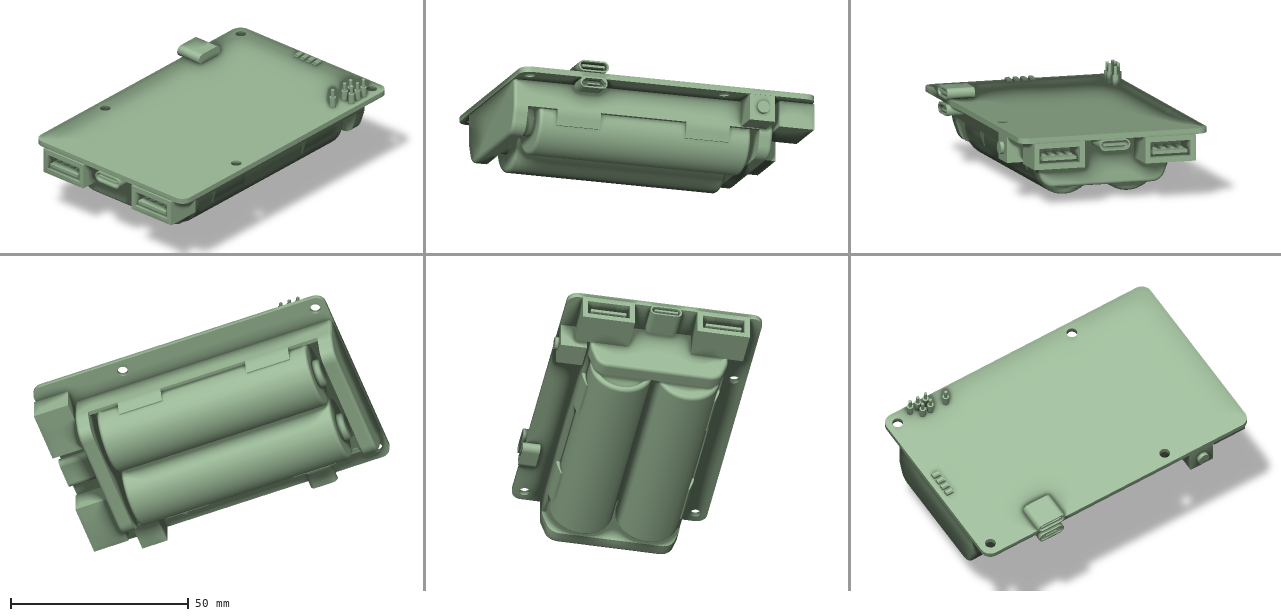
import cadquery as cq
import math


BOARD_WIDTH = 55.9
BOARD_LENGTH = 88.0
BOARD_THICKNESS = 1.6
BOARD_CORNER_RADIUS = 3.0
BOARD_LEFT = -BOARD_WIDTH / 2
BOARD_FRONT = -BOARD_LENGTH / 2
MOUNT_HOLE_DIAMETER = 3.0
MOUNT_HOLE_X = 24.5
MOUNT_HOLE_YS = (-17.4, 40.6)

CELL_DIAMETER = 18.2
CELL_RADIUS = CELL_DIAMETER / 2
CELL_LENGTH = 63.0
CELL_EDGE_RADIUS = 1.0
CELL_SPACING = 18.9
CELL_AXIS_Z = -CELL_RADIUS
TERMINAL_DIAMETER = 8.0
TERMINAL_LENGTH = 1.95
TERMINAL_EDGE_RADIUS = 1.0
RECESS_DIAMETER = 15.0
RECESS_DEPTH = 0.9
RECESS_EDGE_RADIUS = 0.5

HOLDER_WIDTH = 39.5
HOLDER_LENGTH = 77.35
HOLDER_CENTER_Y = 4.9
HOLDER_HEIGHT = 15.0
HOLDER_DRAFT = 20.0
HOLDER_KNEE_RADIUS = 5.75
HOLDER_BOTTOM_RADIUS = 4.0
HOLDER_EDGE_RADIUS = 1.0
END_WALL_THICKNESS = 4.1
SIDE_WALL_HEIGHT = 7.5
CLIP_BOTTOM_DEPTH = 11.95
CLIP_LENGTH = 12.9
CLIP_SPACING = 38.4
HOLDER_INNER_LENGTH = HOLDER_LENGTH - 2 * END_WALL_THICKNESS
HOLDER_KNEE_DEPTH = SIDE_WALL_HEIGHT + HOLDER_KNEE_RADIUS * math.tan(math.radians(HOLDER_DRAFT / 2))

FRONT_OVERHANG = 0.5
LEFT_OVERHANG = 1.1
CONNECTOR_FRONT = BOARD_FRONT - FRONT_OVERHANG
CONNECTOR_LEFT = BOARD_LEFT - LEFT_OVERHANG
FRONT_ROW_CENTER_X = -0.1

USB_A_WIDTH = 15.0
USB_A_HEIGHT = 7.5
USB_A_LENGTH = 10.35
USB_A_WALL = 1.5
USB_A_SPACING = 32.9
USB_A_CAVITY_DEPTH = 8.85
USB_A_TONGUE_WIDTH = 10.2
USB_A_TONGUE_THICKNESS = 0.9
USB_A_TONGUE_TOP_DEPTH = 4.2
USB_A_TONGUE_SETBACK = 0.2
USB_A_CONTACT_COUNT = 4
USB_A_CONTACT_WIDTH = 1.2
USB_A_CONTACT_HEIGHT = 0.4
USB_A_CONTACT_PITCH = 2.6
USB_A_CONTACT_SETBACK = 2.3
USB_A_SPRING_WIDTH = 2.1
USB_A_SPRING_DROP = 0.5
USB_A_SPRING_SPACING = 6.9

USB_C_WIDTH = 9.0
USB_C_HEIGHT = 3.2
USB_C_LENGTH = 8.1
USB_C_TONGUE_WIDTH = 6.6
USB_C_TONGUE_THICKNESS = 0.6
MICRO_USB_WIDTH = 8.1
MICRO_USB_HEIGHT = 3.2
MICRO_USB_LENGTH = 5.0
MICRO_USB_CAVITY_TOP_WIDTH = 4.8
MICRO_USB_CAVITY_BOTTOM_WIDTH = 6.4
MICRO_USB_CAVITY_SIDE_HEIGHT = 0.6
MICRO_USB_TONGUE_WIDTH = 3.45
MICRO_USB_TONGUE_THICKNESS = 0.35
MICRO_USB_TONGUE_DROP = 0.35
SHELL_WALL = 0.4
SHELL_CAVITY_DEPTH = 2.65
SHELL_TONGUE_SETBACK = 0.2
LEFT_PORTS_Y = 23.0

BUTTON_BLOCK_LENGTH = 7.5
BUTTON_BLOCK_HEIGHT = 7.5
BUTTON_BLOCK_DEPTH = 7.5
BUTTON_SETBACK = 0.1
BUTTON_DIAMETER = 3.5
BUTTON_CENTER_Y = -27.7

PIN_PITCH = 2.6
PIN_DIAMETER = 1.0
PIN_HEIGHT = 5.5
PIN_TIP_CHAMFER = 0.2
PIN_COLLAR_DIAMETER = 1.8
PIN_COLLAR_HEIGHT = 3.0
PIN_CORNER_X = 25.7
PIN_CORNER_Y = 35.75
PIN_GRID = ((0, 0), (0, 1), (1, 1), (0, 2), (1, 2), (1, 4))

LIGHT_COUNT = 4
LIGHT_PITCH = 2.3
LIGHT_WIDTH = 1.5
LIGHT_LENGTH = 2.4
LIGHT_BASE_HEIGHT = 0.5
LIGHT_LENS_HEIGHT = 0.5
LIGHT_LENS_SETBACK = 0.35
LIGHT_LENS_CHAMFER = 0.35
LIGHT_CENTER_Y = 41.15


def box(width, length, height, x, y, z):
    """Box centred on x and y, rising from z."""
    return cq.Workplane("XY").box(width, length, height, centered=(True, True, False)).translate((x, y, z))


def row_positions(count, pitch):
    """Evenly spaced places along a line, centred on zero."""
    return [(index - (count - 1) / 2) * pitch for index in range(count)]


def board():
    """Flat plate with rounded corners and four mounting holes."""
    plate = cq.Workplane("XY").rect(BOARD_WIDTH, BOARD_LENGTH).extrude(BOARD_THICKNESS)
    plate = plate.edges("|Z").fillet(BOARD_CORNER_RADIUS)
    hole_centers = [(x, y) for x in (-MOUNT_HOLE_X, MOUNT_HOLE_X) for y in MOUNT_HOLE_YS]
    return plate.faces(">Z").workplane(origin=(0, 0, 0)).pushPoints(hole_centers).hole(MOUNT_HOLE_DIAMETER)


def holder_blank():
    """Solid holder: upright sides that lean inward below the knee, rounded at both ends."""
    half_width = HOLDER_WIDTH / 2
    lean = (HOLDER_HEIGHT - HOLDER_KNEE_DEPTH) * math.tan(math.radians(HOLDER_DRAFT))
    outline = [
        (-half_width, 0),
        (half_width, 0),
        (half_width, -HOLDER_KNEE_DEPTH),
        (half_width - lean, -HOLDER_HEIGHT),
        (lean - half_width, -HOLDER_HEIGHT),
        (-half_width, -HOLDER_KNEE_DEPTH),
    ]
    blank = cq.Workplane("XZ").polyline(outline).close().extrude(HOLDER_LENGTH / 2, both=True)
    blank = blank.edges("|Y and <Z").fillet(HOLDER_BOTTOM_RADIUS)
    blank = blank.edges("|Y and (<X or >X) and (not >Z)").fillet(HOLDER_KNEE_RADIUS)
    return blank.faces("<Y or >Y").edges("not >Z").fillet(HOLDER_EDGE_RADIUS)


def holder_cavity():
    """Space for both cells: upright to the cell axes, then following the cells round below them."""
    axis_x = CELL_SPACING / 2
    side_x = axis_x + CELL_RADIUS
    bottom_z = CELL_AXIS_Z - CELL_RADIUS
    diagonal = CELL_RADIUS * math.sqrt(0.5)
    return (
        cq.Workplane("XZ")
        .moveTo(-side_x, 0)
        .lineTo(side_x, 0)
        .lineTo(side_x, CELL_AXIS_Z)
        .threePointArc((axis_x + diagonal, CELL_AXIS_Z - diagonal), (axis_x, bottom_z))
        .lineTo(-axis_x, bottom_z)
        .threePointArc((-axis_x - diagonal, CELL_AXIS_Z - diagonal), (-side_x, CELL_AXIS_Z))
        .close()
        .extrude(HOLDER_INNER_LENGTH / 2, both=True)
    )


def holder():
    """Frame with two end walls, low side walls and two deeper clips on each side."""
    side_cut = box(HOLDER_WIDTH, HOLDER_INNER_LENGTH, HOLDER_HEIGHT, 0, 0, -SIDE_WALL_HEIGHT - HOLDER_HEIGHT)
    clip_height = CLIP_BOTTOM_DEPTH - SIDE_WALL_HEIGHT
    for y in row_positions(2, CLIP_SPACING):
        side_cut = side_cut.cut(box(HOLDER_WIDTH, CLIP_LENGTH, clip_height, 0, y, -CLIP_BOTTOM_DEPTH))
    frame = holder_blank().cut(holder_cavity()).cut(side_cut)
    return frame.translate((0, HOLDER_CENTER_Y, 0))


def usb_a_port(x):
    """Boxed port under the board with a tongue, its contacts and two ramped springs inside."""
    cavity_width = USB_A_WIDTH - 2 * USB_A_WALL
    cavity_height = USB_A_HEIGHT - 2 * USB_A_WALL
    front = -USB_A_LENGTH / 2
    cavity_back = front + USB_A_CAVITY_DEPTH
    cavity_y = front + USB_A_CAVITY_DEPTH / 2
    cavity_z = USB_A_WALL - USB_A_HEIGHT
    port = box(USB_A_WIDTH, USB_A_LENGTH, USB_A_HEIGHT, 0, 0, -USB_A_HEIGHT)
    port = port.cut(box(cavity_width, USB_A_CAVITY_DEPTH, cavity_height, 0, cavity_y, cavity_z))

    tongue_length = USB_A_CAVITY_DEPTH - USB_A_TONGUE_SETBACK
    tongue_z = -USB_A_TONGUE_TOP_DEPTH - USB_A_TONGUE_THICKNESS
    tongue_y = cavity_back - tongue_length / 2
    port = port.union(box(USB_A_TONGUE_WIDTH, tongue_length, USB_A_TONGUE_THICKNESS, 0, tongue_y, tongue_z))

    contact_length = USB_A_CAVITY_DEPTH - USB_A_CONTACT_SETBACK
    contact_y = cavity_back - contact_length / 2
    contact_z = -USB_A_TONGUE_TOP_DEPTH
    for contact_x in row_positions(USB_A_CONTACT_COUNT, USB_A_CONTACT_PITCH):
        contact = box(USB_A_CONTACT_WIDTH, contact_length, USB_A_CONTACT_HEIGHT, contact_x, contact_y, contact_z)
        port = port.union(contact)

    ramp = [
        (front, -USB_A_WALL),
        (cavity_back, -USB_A_WALL),
        (cavity_back, -USB_A_WALL - USB_A_SPRING_DROP),
    ]
    spring = cq.Workplane("YZ").polyline(ramp).close().extrude(USB_A_SPRING_WIDTH / 2, both=True)
    for spring_x in row_positions(2, USB_A_SPRING_SPACING):
        port = port.union(spring.translate((spring_x, 0, 0)))
    return port.translate((x, CONNECTOR_FRONT - front, 0))


def shell_port(outline, cavity_outline, length, tongue_width, tongue_thickness, tongue_drop=0.0):
    """Hollow port opening towards -Y at y = 0, with a flat tongue; both outlines lie in the XZ plane."""
    tongue_length = SHELL_CAVITY_DEPTH - SHELL_TONGUE_SETBACK
    tongue_y = SHELL_TONGUE_SETBACK + tongue_length / 2
    tongue_z = -tongue_drop - tongue_thickness / 2
    tongue = box(tongue_width, tongue_length, tongue_thickness, 0, tongue_y, tongue_z)
    return outline.extrude(-length).cut(cavity_outline.extrude(-SHELL_CAVITY_DEPTH)).union(tongue)


def usb_c_port():
    """Port with round sides outside and inside."""
    outline = cq.Workplane("XZ").slot2D(USB_C_WIDTH, USB_C_HEIGHT)
    cavity_outline = cq.Workplane("XZ").slot2D(USB_C_WIDTH - 2 * SHELL_WALL, USB_C_HEIGHT - 2 * SHELL_WALL)
    return shell_port(outline, cavity_outline, USB_C_LENGTH, USB_C_TONGUE_WIDTH, USB_C_TONGUE_THICKNESS)


def micro_usb_port():
    """Port with round sides outside and a cavity that narrows strongly at the top and a little at the bottom."""
    outline = cq.Workplane("XZ").slot2D(MICRO_USB_WIDTH, MICRO_USB_HEIGHT)
    half_height = MICRO_USB_HEIGHT / 2 - SHELL_WALL
    half_width = MICRO_USB_WIDTH / 2 - SHELL_WALL
    right_side = [
        (MICRO_USB_CAVITY_TOP_WIDTH / 2, half_height),
        (half_width, 0),
        (half_width, -MICRO_USB_CAVITY_SIDE_HEIGHT),
        (MICRO_USB_CAVITY_BOTTOM_WIDTH / 2, -half_height),
    ]
    left_side = [(-x, z) for x, z in reversed(right_side)]
    cavity_outline = cq.Workplane("XZ").polyline(right_side + left_side).close()
    return shell_port(
        outline,
        cavity_outline,
        MICRO_USB_LENGTH,
        MICRO_USB_TONGUE_WIDTH,
        MICRO_USB_TONGUE_THICKNESS,
        MICRO_USB_TONGUE_DROP,
    )


def facing_left(port):
    """Turn a port that opens towards -Y so that it opens towards -X."""
    return port.rotate((0, 0, 0), (0, 0, 1), -90)


def power_button():
    """Block under the board edge with a round knob that sticks out towards -X."""
    block_x = BOARD_LEFT + BUTTON_SETBACK + BUTTON_BLOCK_DEPTH / 2
    block_z = -BUTTON_BLOCK_HEIGHT
    block = box(BUTTON_BLOCK_DEPTH, BUTTON_BLOCK_LENGTH, BUTTON_BLOCK_HEIGHT, block_x, BUTTON_CENTER_Y, block_z)
    knob = (
        cq.Workplane("YZ", origin=(CONNECTOR_LEFT, BUTTON_CENTER_Y, -BUTTON_BLOCK_HEIGHT / 2))
        .circle(BUTTON_DIAMETER / 2)
        .extrude(LEFT_OVERHANG + BUTTON_SETBACK)
    )
    return block.union(knob)


def contact_pin(column, row):
    """Thin pin in a collar; columns count towards -X and rows towards -Y."""
    x = PIN_CORNER_X - column * PIN_PITCH
    y = PIN_CORNER_Y - row * PIN_PITCH
    base = cq.Workplane("XY", origin=(x, y, BOARD_THICKNESS))
    collar = base.circle(PIN_COLLAR_DIAMETER / 2).extrude(PIN_COLLAR_HEIGHT)
    pin = base.circle(PIN_DIAMETER / 2).extrude(PIN_HEIGHT).faces(">Z").chamfer(PIN_TIP_CHAMFER)
    return collar.union(pin)


def indicator_light(x):
    """Rectangular base with a bevelled lens that leaves a ledge at the -Y end."""
    lens_z = BOARD_THICKNESS + LIGHT_BASE_HEIGHT
    lens_length = LIGHT_LENGTH - LIGHT_LENS_SETBACK
    base = box(LIGHT_WIDTH, LIGHT_LENGTH, LIGHT_BASE_HEIGHT, x, LIGHT_CENTER_Y, BOARD_THICKNESS)
    lens = box(LIGHT_WIDTH, lens_length, LIGHT_LENS_HEIGHT, x, LIGHT_CENTER_Y + LIGHT_LENS_SETBACK / 2, lens_z)
    lens = lens.faces(">Z").edges("|Y").chamfer(LIGHT_LENS_CHAMFER)
    return base.union(lens)


def board_assembly():
    """Board with its holder, connectors, button, pins and lights as one solid."""
    below_z = -USB_C_HEIGHT / 2
    above_z = BOARD_THICKNESS + USB_C_HEIGHT / 2
    features = [
        holder(),
        usb_c_port().translate((FRONT_ROW_CENTER_X, CONNECTOR_FRONT, below_z)),
        facing_left(usb_c_port()).translate((CONNECTOR_LEFT, LEFT_PORTS_Y, above_z)),
        facing_left(micro_usb_port()).translate((CONNECTOR_LEFT, LEFT_PORTS_Y, -MICRO_USB_HEIGHT / 2)),
        power_button(),
    ]
    for offset in row_positions(2, USB_A_SPACING):
        features.append(usb_a_port(FRONT_ROW_CENTER_X + offset))
    for column, row in PIN_GRID:
        features.append(contact_pin(column, row))
    for offset in row_positions(LIGHT_COUNT, LIGHT_PITCH):
        features.append(indicator_light(FRONT_ROW_CENTER_X + offset))

    assembly = board()
    for feature in features:
        assembly = assembly.union(feature)
    return assembly


def battery_cell(recessed_back):
    """Cell along Y from y = 0 with its raised terminal at +Y and an optional recess in its back."""
    cell = cq.Workplane("XZ").circle(CELL_RADIUS).extrude(-CELL_LENGTH)
    cell = cell.faces("<Y or >Y").edges().fillet(CELL_EDGE_RADIUS)
    if recessed_back:
        recess = cq.Workplane("XZ").circle(RECESS_DIAMETER / 2).extrude(-RECESS_DEPTH)
        cell = cell.cut(recess)
        cell = cell.faces("<Y").edges(cq.selectors.RadiusNthSelector(0)).fillet(RECESS_EDGE_RADIUS)
    terminal = cq.Workplane("XZ", origin=(0, CELL_LENGTH, 0)).circle(TERMINAL_DIAMETER / 2).extrude(-TERMINAL_LENGTH)
    terminal = terminal.faces(">Y").edges().fillet(TERMINAL_EDGE_RADIUS)
    return cell.union(terminal)


def placed_cell(side):
    """One of the two cells lying side by side; only the left one (side -1) has a recessed back."""
    cell = battery_cell(recessed_back=side < 0)
    back_y = HOLDER_CENTER_Y - (CELL_LENGTH + TERMINAL_LENGTH) / 2
    return cell.translate((side * CELL_SPACING / 2, back_y, CELL_AXIS_Z))


housing = board_assembly()
cells = [placed_cell(side) for side in (-1, 1)]

result = cq.Compound.makeCompound([housing.val(), *[cell.val() for cell in cells]])